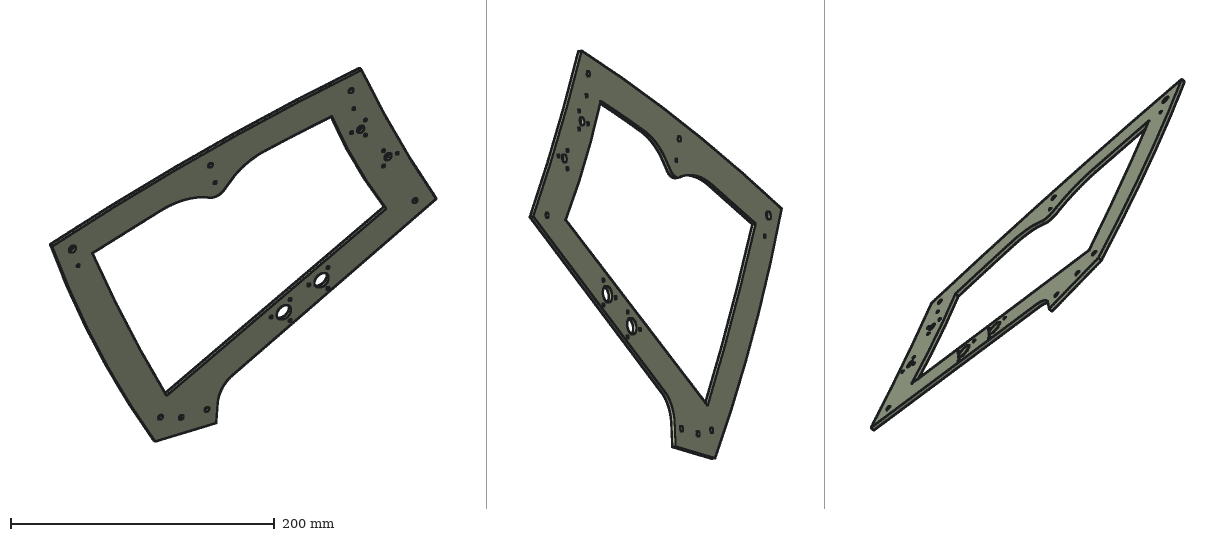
import cadquery as cq
import math

thickness = 3.15
width = 343.5
height = 281.5
half_width = width / 2
half_height = height / 2

plate_plane = cq.Plane(origin=(thickness / 2, 0, 0), xDir=(0, -1, 0), normal=(-1, 0, 0))

outer_top_left = (-104.8, half_height)
outer_top_middle = (38.5, 115.8)
outer_top_right = (half_width, 81.5)
outer_right_middle = (132.3, -27.0)
foot_right = (79.7, -137.0)
foot_left = (25.0, -half_height)
neck_bottom = (23.7, -122.3)
neck_middle = (20.3, -111.0)
neck_top = (12.5, -102.5)
outer_bottom_left = (-half_width, -6.0)
outer_left_middle = (-136.7, 65.5)

window_top_left = (-78.3, 107.2)
window_bottom_left = (-126.8, 2.0)
window_left_middle = (-100.3, 53.2)
window_bottom_right = (69.5, -98.0)
window_right_middle = (103.5, -21.3)
window_top_right = (135.7, 61.0)
window_top_middle = (-47.5, 102.7)

left_shoulder_start = (-17.0, 97.5)
left_shoulder_middle = (-2.7, 92.7)
left_shoulder_end = (8.5, 85.2)
tip_start = (17.0, 76.5)
tip_middle = (26.5, 71.8)
tip_end = (33.3, 74.2)
right_shoulder_start = (41.5, 77.3)
right_shoulder_middle = (57.0, 79.7)
right_shoulder_end = (73.5, 78.0)

pin_diameter = 2.37
bolt_diameter = 4.0
shaft_diameter = 6.2
large_shaft_diameter = 12.7

pin_centers = [(-98.0, 107.0), (26.0, 85.2), (148.5, 54.3)]
bolt_centers = [(-95.5, 124.7), (30.2, 103.0), (-152.5, -0.5), (33.3, -124.7), (56.5, -123.3), (75.0, -116.0)]
corner_hole_center = (153.5, 71.8)

pins_per_shaft = 3
shaft_pin_radius = 8.2
large_shaft_pin_radius = 11.5
upper_shaft = (-104.0, 85.2)
lower_shaft = (-128.5, 50.0)
large_shafts = [(-69.0, -43.0), (-35.5, -60.0)]


def make_blank():
    return (
        cq.Workplane(plate_plane)
        .moveTo(*outer_top_left)
        .threePointArc(outer_top_middle, outer_top_right)
        .threePointArc(outer_right_middle, foot_right)
        .lineTo(*foot_left)
        .lineTo(*neck_bottom)
        .threePointArc(neck_middle, neck_top)
        .lineTo(*outer_bottom_left)
        .threePointArc(outer_left_middle, outer_top_left)
        .close()
        .extrude(thickness)
    )


def make_window():
    return (
        cq.Workplane(plate_plane)
        .moveTo(*window_top_left)
        .threePointArc(window_top_middle, left_shoulder_start)
        .threePointArc(left_shoulder_middle, left_shoulder_end)
        .lineTo(*tip_start)
        .threePointArc(tip_middle, tip_end)
        .lineTo(*right_shoulder_start)
        .threePointArc(right_shoulder_middle, right_shoulder_end)
        .lineTo(*window_top_right)
        .threePointArc(window_right_middle, window_bottom_right)
        .lineTo(*window_bottom_left)
        .threePointArc(window_left_middle, window_top_left)
        .close()
        .extrude(thickness)
    )


def make_holes(centers, diameter):
    return cq.Workplane(plate_plane).pushPoints(centers).circle(diameter / 2).extrude(thickness)


def pin_ring(center, radius, first_angle):
    """Centers of the pin holes around a shaft; the first angle is in degrees from +u."""
    angles = [math.radians(first_angle + 360 / pins_per_shaft * i) for i in range(pins_per_shaft)]
    return [(center[0] + radius * math.cos(a), center[1] + radius * math.sin(a)) for a in angles]


all_pins = pin_centers + pin_ring(upper_shaft, shaft_pin_radius, 0)
all_pins += pin_ring(lower_shaft, shaft_pin_radius, 180)
for shaft in large_shafts:
    all_pins += pin_ring(shaft, large_shaft_pin_radius, 0)

result = (
    make_blank()
    .cut(make_window())
    .cut(make_holes(all_pins, pin_diameter))
    .cut(make_holes(bolt_centers, bolt_diameter))
    .cut(make_holes([upper_shaft, lower_shaft, corner_hole_center], shaft_diameter))
    .cut(make_holes(large_shafts, large_shaft_diameter))
)